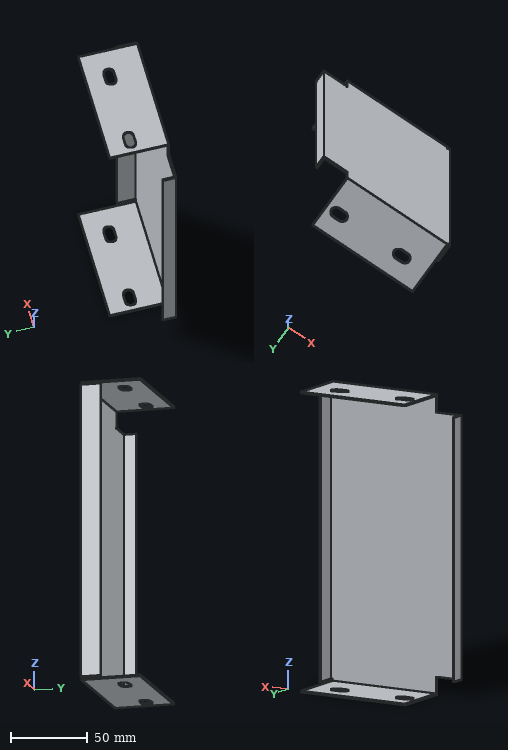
import cadquery as cq

width = 101.0
depth = 40.0
height = 201.0
sheet = 1.0

left_notch_width = 18.9
left_notch_height = 12.0
right_notch = 2.0

left_lip_depth = 9.0
right_lip_depth = 13.5

slot_length = 12.0
slot_width = 7.0
slot_spacing = 50.0
first_slot_x = 29.0
slot_y = 24.0

flange_width = width - left_notch_width - right_notch
left_lip_height = height - 2 * left_notch_height
right_lip_height = height - 2 * right_notch


def block(x, y, z, size_x, size_y, size_z):
    """Box with its minimum corner at (x, y, z)."""
    return cq.Workplane("XY").box(size_x, size_y, size_z, centered=False).translate((x, y, z))


panel = (
    block(left_notch_width, 0, 0, flange_width, sheet, height)
    .union(block(0, 0, left_notch_height, left_notch_width, sheet, left_lip_height))
    .union(block(width - right_notch, 0, right_notch, right_notch, sheet, right_lip_height))
)

left_lip = block(0, 0, left_notch_height, sheet, left_lip_depth, left_lip_height)
right_lip = block(width - sheet, 0, right_notch, sheet, right_lip_depth, right_lip_height)
body = panel.union(left_lip).union(right_lip)

for flange_z in (0, height - sheet):
    body = body.union(block(left_notch_width, 0, flange_z, flange_width, depth, sheet))

slots = (
    cq.Workplane("XY")
    .pushPoints([(first_slot_x, slot_y), (first_slot_x + slot_spacing, slot_y)])
    .slot2D(slot_length, slot_width)
    .extrude(height)
)

result = body.cut(slots)